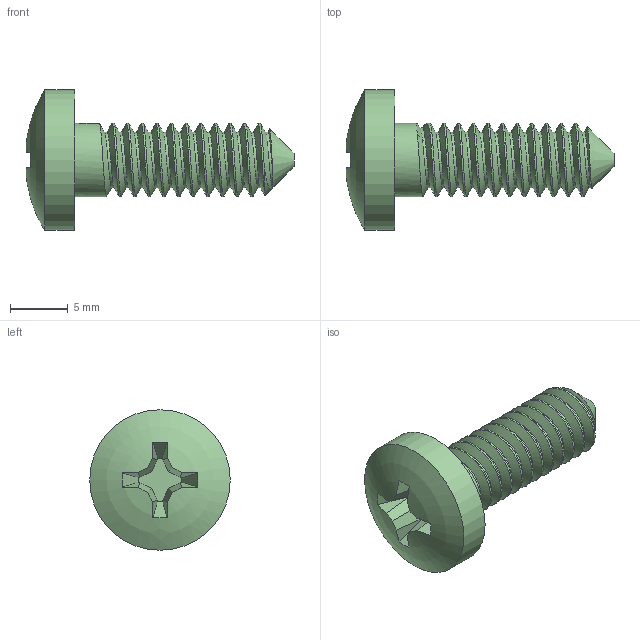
import cadquery as cq
import math


head_radius = 6.1
head_rim_height = 2.6
dome_radius = 11.7

shank_radius = 6.35 / 2
shank_length = 19.05
tip_flat_radius = 0.6
tip_cone_angle = 45.0

pitch = 1.27
thread_depth = 0.75
crest_width = pitch / 8
flank_angle = 30.0
thread_start = 2 * pitch
thread_start_angle = 135.0
thread_turns = 12
groove_overshoot = 0.05
runout_offset = 1.26
runout_sweep = 100.0

recess_floor_depth = 1.65
recess_arm_half_width = 0.235
recess_arm_length = 1.9
recess_gusset_corner = 0.73
recess_gusset_slope = 2.1
recess_wall_draft = 10.1
recess_tip_draft = 32.0

root_radius = shank_radius - thread_depth
cutter_radius = shank_radius + groove_overshoot
dome_rise = dome_radius - math.sqrt(dome_radius**2 - head_radius**2)
head_height = head_rim_height + dome_rise
tip_length = (shank_radius - tip_flat_radius) / math.tan(math.radians(tip_cone_angle))


def make_blank():
    """Revolved body: domed head, plain shank and conical tip."""
    dome_mid_radius = head_radius / 2
    dome_mid_drop = dome_radius - math.sqrt(dome_radius**2 - dome_mid_radius**2)
    return (
        cq.Workplane("XZ")
        .moveTo(0, -head_height)
        .threePointArc(
            (dome_mid_radius, -head_height + dome_mid_drop),
            (head_radius, -head_rim_height),
        )
        .lineTo(head_radius, 0)
        .lineTo(shank_radius, 0)
        .lineTo(shank_radius, shank_length - tip_length)
        .lineTo(tip_flat_radius, shank_length)
        .lineTo(0, shank_length)
        .close()
        .revolve(360, (0, 0, 0), (0, 1, 0))
    )


def groove_profile():
    """Trapezoidal groove section, in the XZ plane, at the start of the thread."""
    flank_slope = math.tan(math.radians(flank_angle))
    surface_half_width = (pitch - crest_width) / 2
    root_half_width = surface_half_width - thread_depth * flank_slope
    outer_half_width = surface_half_width + groove_overshoot * flank_slope
    return cq.Workplane("XZ").polyline([
        (root_radius, thread_start - root_half_width),
        (cutter_radius, thread_start - outer_half_width),
        (cutter_radius, thread_start + outer_half_width),
        (root_radius, thread_start + root_half_width),
    ]).close()


def make_thread_groove():
    """Helical groove that runs from the thread start out through the tip cone."""
    helix = cq.Wire.makeHelix(pitch, thread_turns * pitch, root_radius, cq.Vector(0, 0, thread_start))
    return groove_profile().sweep(cq.Workplane(obj=helix), isFrenet=True)


def make_thread_runout():
    """Arc that lifts the groove out of the shank, tangent to the helix at its start.

    Its axis is set back behind the screw axis and tilted by the lead angle.
    """
    lead_slope = pitch / (2 * math.pi * root_radius)
    axis_start = (-runout_offset, thread_start, 0)
    axis_end = (-runout_offset, thread_start - 1, -lead_slope)
    return groove_profile().revolve(runout_sweep, axis_start, axis_end)


def recess_outline(depth):
    """Corner points of the cross recess at a height above its floor."""
    wall_shift = depth * math.tan(math.radians(recess_wall_draft))
    tip_shift = depth * math.tan(math.radians(recess_tip_draft))
    gusset_ratio = math.hypot(1, recess_gusset_slope) / (1 + recess_gusset_slope)
    half_width = recess_arm_half_width + wall_shift
    gusset_corner = recess_gusset_corner + gusset_ratio * wall_shift
    arm_root = gusset_corner + recess_gusset_slope * (gusset_corner - half_width)
    arm_tip = recess_arm_length + tip_shift
    arm = [
        (arm_root, -half_width),
        (arm_tip, -half_width),
        (arm_tip, half_width),
        (arm_root, half_width),
        (gusset_corner, gusset_corner),
    ]
    points = []
    for quarter in range(4):
        for x, y in arm:
            points.append((x, y))
        arm = [(-y, x) for x, y in arm]
    return points


def make_recess():
    """Cross recess with drafted walls, from its flat floor to the dome apex."""
    depth = head_height - recess_floor_depth
    return (
        cq.Workplane("XY", origin=(0, 0, -recess_floor_depth))
        .polyline(recess_outline(0))
        .close()
        .workplane(offset=-depth)
        .polyline(recess_outline(depth))
        .close()
        .loft(ruled=True)
    )


def turn_to_thread_start(groove):
    """Turn a groove about the screw axis to the angle where the thread starts."""
    return groove.rotate((0, 0, 0), (0, 0, 1), thread_start_angle)


screw = make_blank()
screw = screw.cut(turn_to_thread_start(make_thread_groove()))
screw = screw.cut(turn_to_thread_start(make_thread_runout()))
screw = screw.cut(make_recess())

result = screw.rotate((0, 0, 0), (0, 1, 0), 90)